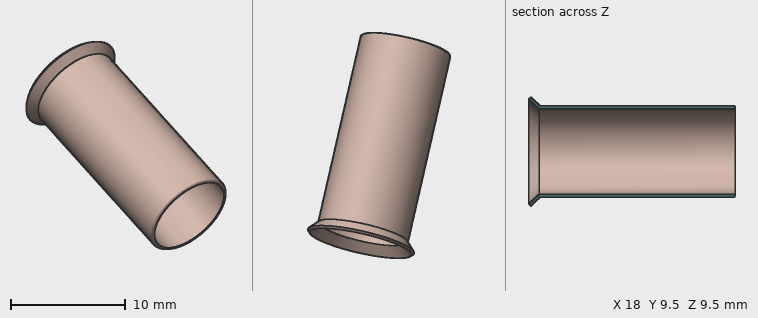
import cadquery as cq
import math

length = 18.0
tube_outer_radius = 4.01
wall_thickness = 0.3
bore_radius = tube_outer_radius - wall_thickness

rim_radius = 4.75
mouth_radius = 4.55
rim_position = 0.2
flare_length = 0.99

flare_slope = (rim_radius - tube_outer_radius) / (flare_length - rim_position)
inner_flare_length = (mouth_radius - bore_radius) / flare_slope

end_round = 0.2
round_start = length - end_round
round_center_radius = tube_outer_radius - end_round
round_middle = end_round * math.sqrt(0.5)

result = (
    cq.Workplane("XY")
    .moveTo(0, mouth_radius)
    .lineTo(rim_position, rim_radius)
    .lineTo(flare_length, tube_outer_radius)
    .lineTo(round_start, tube_outer_radius)
    .threePointArc(
        (round_start + round_middle, round_center_radius + round_middle),
        (length, round_center_radius),
    )
    .lineTo(length, bore_radius)
    .lineTo(inner_flare_length, bore_radius)
    .close()
    .revolve(360, (0, 0, 0), (1, 0, 0))
)